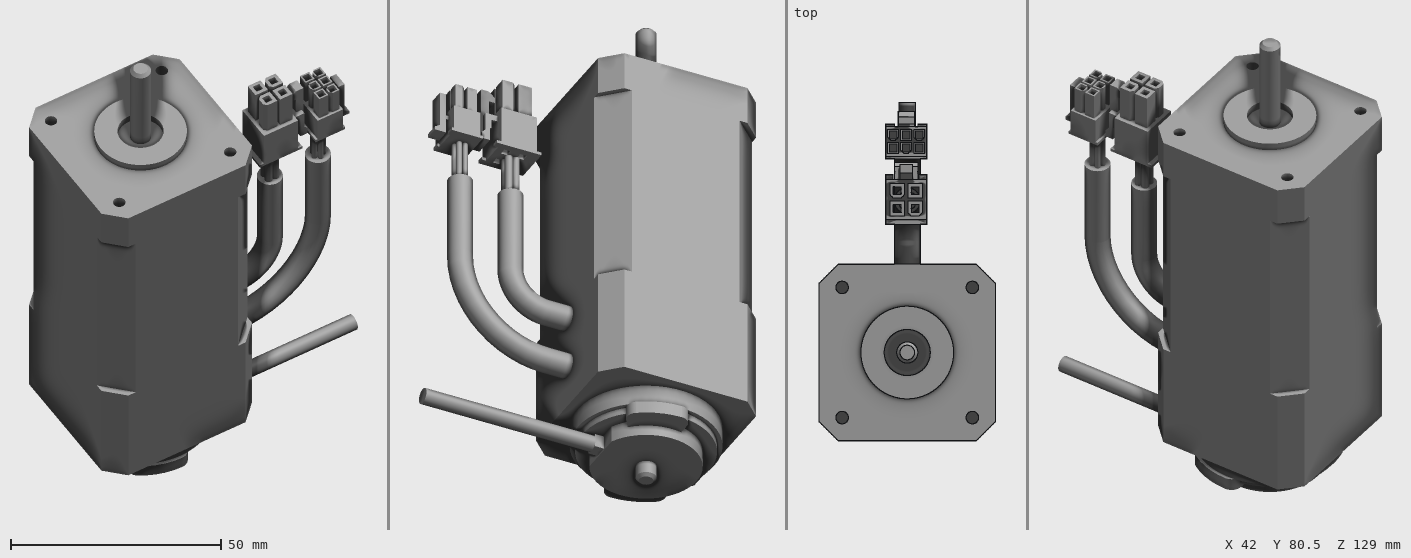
import cadquery as cq
import math


BODY_WIDTH = 42.0
CORNER_CHAMFER = 4.6
RELIEF_CHAMFER = 6.7
RELIEF_TOP = -10.0
RELIEF_BOTTOM = -62.2
MOTOR_REAR = -75.3
PILOT_DIAMETER = 22.0
PILOT_HEIGHT = 1.9
PILOT_RECESS_DIAMETER = 11.0
MOUNT_HOLE_DIAMETER = 3.0
MOUNT_HOLE_PITCH = 31.0
MOUNT_HOLE_DEPTH = 4.5

SHAFT_DIAMETER = 5.0
SHAFT_TOP = 23.9
SHAFT_BOTTOM = -105.1
SHAFT_CHAMFER = 0.8

BLOCK_REAR = -90.2

FLANGE_DIAMETER = 36.4
FLANGE_BOTTOM = -95.2
COLLAR_DIAMETER = 33.8
COLLAR_BOTTOM = -96.9
CAP_DIAMETER = 27.0
CAP_BOTTOM = -101.1
CAP_FLAT_Y = 12.1
EAR_BOTTOM = -98.4
EAR_RADIUS = 19.0
EAR_END_RADIUS = 2.7
EAR_SWEEP = 34.0
LEAD_DIAMETER = 4.0
LEAD_Z = -99.0
LEAD_END_Y = 59.5
LEAD_BLOCK_SIZE = 3.5
LEAD_BLOCK_END_Y = 14.5

CABLE_DIAMETER = 6.2
BEND_START_Y = 26.6
CABLE_TOP = -34.2
PLUG_X = -0.3
PLUG_WIDTH = 9.8
PLUG_BOTTOM = -24.0
LIP_TOP = -23.2
KEY_CHAMFER = 0.8


def box(x_range, y_range, z_range):
    """Box between the given limits."""
    (x0, x1), (y0, y1), (z0, z1) = x_range, y_range, z_range
    return cq.Workplane("XY").box(x1 - x0, y1 - y0, z1 - z0, centered=False).translate((x0, y0, z0))


def centered_range(middle, size):
    """Limits of a span of the given size about its middle."""
    return middle - size / 2, middle + size / 2


def disc(diameter, top, bottom):
    """Cylinder about the shaft axis."""
    return cq.Workplane("XY").workplane(offset=bottom).circle(diameter / 2).extrude(top - bottom)


def chamfered_square(chamfer, top, bottom):
    """Square section of the motor with its four long edges chamfered."""
    section = cq.Workplane("XY").workplane(offset=bottom).rect(BODY_WIDTH, BODY_WIDTH)
    return section.extrude(top - bottom).edges("|Z").chamfer(chamfer)


def make_shaft():
    shaft = disc(SHAFT_DIAMETER, SHAFT_TOP, SHAFT_BOTTOM)
    return shaft.faces("<Z or >Z").chamfer(SHAFT_CHAMFER)


def make_motor():
    front_end = chamfered_square(CORNER_CHAMFER, 0, RELIEF_TOP)
    waist = chamfered_square(RELIEF_CHAMFER, RELIEF_TOP, RELIEF_BOTTOM)
    rear_end = chamfered_square(CORNER_CHAMFER, RELIEF_BOTTOM, MOTOR_REAR)
    pilot = disc(PILOT_DIAMETER, PILOT_HEIGHT, 0).cut(disc(PILOT_RECESS_DIAMETER, PILOT_HEIGHT, 0))
    mount_holes = (
        cq.Workplane("XY")
        .rect(MOUNT_HOLE_PITCH, MOUNT_HOLE_PITCH, forConstruction=True)
        .vertices()
        .circle(MOUNT_HOLE_DIAMETER / 2)
        .extrude(-MOUNT_HOLE_DEPTH)
    )
    return front_end.union(waist).union(rear_end).union(pilot).cut(mount_holes).union(make_shaft())


def make_rear_block():
    block = chamfered_square(CORNER_CHAMFER, MOTOR_REAR, BLOCK_REAR)
    return block.cut(disc(SHAFT_DIAMETER, MOTOR_REAR, BLOCK_REAR))


def make_ear():
    """Bayonet ear on the -X side: a sector whose two outer corners are rounded."""
    center_radius = EAR_RADIUS - EAR_END_RADIUS

    def polar(radius, sweep, across=0.0):
        """Point at a sweep from -X toward +Y, shifted across the radial line."""
        angle = math.radians(180 - sweep)
        x = radius * math.cos(angle) + across * math.sin(angle)
        y = radius * math.sin(angle) - across * math.cos(angle)
        return x, y

    half_round = EAR_END_RADIUS * math.sqrt(0.5)
    outline = (
        cq.Workplane("XY")
        .workplane(offset=EAR_BOTTOM)
        .moveTo(*polar(0, 0, -EAR_END_RADIUS))
        .lineTo(*polar(center_radius, 0, -EAR_END_RADIUS))
        .threePointArc(polar(center_radius + half_round, 0, -half_round), polar(EAR_RADIUS, 0))
        .threePointArc(polar(EAR_RADIUS, EAR_SWEEP / 2), polar(EAR_RADIUS, EAR_SWEEP))
        .threePointArc(
            polar(center_radius + half_round, EAR_SWEEP, half_round),
            polar(center_radius, EAR_SWEEP, EAR_END_RADIUS),
        )
        .lineTo(*polar(0, EAR_SWEEP, EAR_END_RADIUS))
        .close()
    )
    return outline.extrude(FLANGE_BOTTOM - EAR_BOTTOM)


def make_encoder():
    flange = disc(FLANGE_DIAMETER, BLOCK_REAR, FLANGE_BOTTOM)
    collar = disc(COLLAR_DIAMETER, FLANGE_BOTTOM, COLLAR_BOTTOM)
    cap = disc(CAP_DIAMETER, COLLAR_BOTTOM, CAP_BOTTOM)
    beyond_flat = box(
        centered_range(0, CAP_DIAMETER), (CAP_FLAT_Y, CAP_DIAMETER), (CAP_BOTTOM, COLLAR_BOTTOM)
    )
    encoder = flange.union(collar).union(cap.cut(beyond_flat))

    for turn in (0, 180):
        encoder = encoder.union(make_ear().rotate((0, 0, 0), (0, 0, 1), turn))

    lead_block = box(
        centered_range(0, LEAD_BLOCK_SIZE),
        (CAP_FLAT_Y, LEAD_BLOCK_END_Y),
        centered_range(LEAD_Z, LEAD_BLOCK_SIZE),
    )
    lead = (
        cq.Workplane("XZ", origin=(0, LEAD_BLOCK_END_Y, LEAD_Z))
        .circle(LEAD_DIAMETER / 2)
        .extrude(LEAD_BLOCK_END_Y - LEAD_END_Y)
    )
    encoder = encoder.union(lead_block).union(lead)
    return encoder.cut(disc(SHAFT_DIAMETER, BLOCK_REAR, CAP_BOTTOM))


def make_cable(exit_z, rise_y):
    """Cable that leaves the +Y side at exit_z and bends up to run vertically at rise_y."""
    bend_radius = rise_y - BEND_START_Y
    bend_middle = bend_radius * math.sqrt(0.5)
    path = (
        cq.Workplane("YZ")
        .moveTo(BODY_WIDTH / 2, exit_z)
        .lineTo(BEND_START_Y, exit_z)
        .threePointArc(
            (BEND_START_Y + bend_middle, exit_z + bend_radius - bend_middle),
            (rise_y, exit_z + bend_radius),
        )
        .lineTo(rise_y, CABLE_TOP)
    )
    start = cq.Workplane("XZ", origin=(0, BODY_WIDTH / 2, exit_z))
    return start.circle(CABLE_DIAMETER / 2).sweep(path)


def make_wires(count, wire_diameter, ring_radius, first_angle, rise_y):
    """Ring of bare wires between the end of the cable and the plug."""
    return (
        cq.Workplane("XY", origin=(0, rise_y, CABLE_TOP))
        .polarArray(ring_radius, first_angle, 360, count)
        .circle(wire_diameter / 2)
        .extrude(PLUG_BOTTOM - CABLE_TOP)
    )


def make_plug_body(y_range, lip_y_range, body_top, latch_notch_width):
    """Block with a lip along its bottom edges; the +Y lip is notched for the latch."""
    x_range = centered_range(PLUG_X, PLUG_WIDTH)
    body = box(x_range, y_range, (PLUG_BOTTOM, body_top))
    lip = box(x_range, lip_y_range, (PLUG_BOTTOM, LIP_TOP))
    notch = box(
        centered_range(PLUG_X, latch_notch_width), (y_range[1], lip_y_range[1]), (PLUG_BOTTOM, LIP_TOP)
    )
    return body.union(lip.cut(notch))


def add_sockets(plug, middle_y, columns, pitch, size, hole_size, top, body_top, hole_bottom):
    """Two rows of square sockets; every other one has its two -Y corners chamfered as a key."""
    for row in range(2):
        for column in range(columns):
            x = PLUG_X + (column - (columns - 1) / 2) * pitch
            y = middle_y + (0.5 - row) * pitch
            socket = box(centered_range(x, size), centered_range(y, size), (body_top, top))
            if (row + column) % 2 == 0:
                socket = socket.edges("|Z and <Y").chamfer(KEY_CHAMFER)
            hole = box(centered_range(x, hole_size), centered_range(y, hole_size), (hole_bottom, top))
            plug = plug.union(socket).cut(hole)
    return plug


def extrude_latch(side_points, width):
    """Latch part from its (y, z) side outline, centred on the plug."""
    side = cq.Workplane("YZ", origin=(PLUG_X, 0, 0)).polyline(side_points).close()
    return side.extrude(width / 2, both=True)


def make_motor_plug_latch(plug_face_y):
    """Narrow hooked bar on a wider lever, joined to the plug by an arm."""
    bar_outer_y = 44.8
    bar_inner_y = 42.7
    bar_top = -7.4
    bar_bottom = -20.4
    hook_tip_y = 41.2
    hook_shoulder = -8.8
    hook_bottom = -10.2
    bar = extrude_latch(
        [
            (bar_outer_y, bar_bottom),
            (bar_outer_y, bar_top),
            (bar_inner_y, bar_top),
            (hook_tip_y, hook_shoulder),
            (hook_tip_y, hook_bottom),
            (bar_inner_y, hook_bottom),
            (bar_inner_y, bar_bottom),
        ],
        width=3.0,
    )

    lever_outer_y = 44.2
    lever_tail_inner_y = 43.1
    foot_tip_y = 45.2
    arm_top = -14.7
    arm_bottom = -16.3
    tail_step = -18.7
    lever_bottom = -22.2
    lever = extrude_latch(
        [
            (lever_outer_y, arm_top),
            (plug_face_y, arm_top),
            (plug_face_y, arm_bottom),
            (bar_inner_y, arm_bottom),
            (bar_inner_y, tail_step),
            (lever_tail_inner_y, tail_step),
            (lever_tail_inner_y, lever_bottom),
            (foot_tip_y, lever_bottom),
            (foot_tip_y, bar_bottom),
            (lever_outer_y, bar_bottom + (foot_tip_y - lever_outer_y)),
        ],
        width=5.5,
    )
    return bar.union(lever)


def make_signal_plug_latch(plug_face_y):
    """Plain bar with a tapered foot, joined to the plug by a thin bridge."""
    width = 3.9
    bar_outer_y = 56.0
    bar_inner_y = 54.3
    bar_top = -12.0
    bar_bottom = -23.0
    foot_tip_y = 57.3
    foot_tip_top = -22.0
    foot_start = -21.3
    bridge_z_range = (-19.1, -18.0)
    bar = extrude_latch(
        [
            (bar_inner_y, bar_bottom),
            (bar_inner_y, bar_top),
            (bar_outer_y, bar_top),
            (bar_outer_y, foot_start),
            (foot_tip_y, foot_tip_top),
            (foot_tip_y, bar_bottom),
        ],
        width,
    )
    bridge = box(centered_range(PLUG_X, width), (plug_face_y, bar_inner_y), bridge_z_range)
    return bar.union(bridge)


def make_motor_cable():
    """Inner cable, from the motor, with four wires and a plug of two by two sockets."""
    rise_y = 36.1
    plug_middle_y = 36.4
    plug_y_range = centered_range(plug_middle_y, 9.5)
    lip_y_range = centered_range(plug_middle_y, 11.9)
    plug_top = -13.5

    plug = make_plug_body(plug_y_range, lip_y_range, plug_top, latch_notch_width=6.2)
    plug = plug.union(make_motor_plug_latch(plug_y_range[1]))
    plug = add_sockets(
        plug,
        plug_middle_y,
        columns=2,
        pitch=4.3,
        size=3.5,
        hole_size=1.8,
        top=-4.6,
        body_top=plug_top,
        hole_bottom=PLUG_BOTTOM,
    )
    wires = make_wires(count=4, wire_diameter=1.9, ring_radius=1.3, first_angle=45, rise_y=rise_y)
    return make_cable(exit_z=-65.0, rise_y=rise_y).union(wires).union(plug)


def make_signal_cable():
    """Outer cable, from the rear block, with five wires and a plug of two by three sockets."""
    rise_y = 49.5
    plug_middle_y = 50.2
    plug_y_range = centered_range(plug_middle_y, 7.1)
    lip_y_range = centered_range(plug_middle_y, 8.3)
    plug_top = -16.8

    plug = make_plug_body(plug_y_range, lip_y_range, plug_top, latch_notch_width=5.5)
    plug = plug.union(make_signal_plug_latch(plug_y_range[1]))
    plug = add_sockets(
        plug,
        plug_middle_y,
        columns=3,
        pitch=3.1,
        size=2.6,
        hole_size=1.8,
        top=-10.0,
        body_top=plug_top,
        hole_bottom=plug_top,
    )
    wires = make_wires(count=5, wire_diameter=1.4, ring_radius=1.3, first_angle=0, rise_y=rise_y)
    return make_cable(exit_z=-78.7, rise_y=rise_y).union(wires).union(plug)


motor = make_motor()
rear_block = make_rear_block()
encoder = make_encoder()
motor_cable = make_motor_cable()
signal_cable = make_signal_cable()

result = cq.Compound.makeCompound(
    [body.solids().val() for body in (motor, rear_block, encoder, motor_cable, signal_cable)]
)